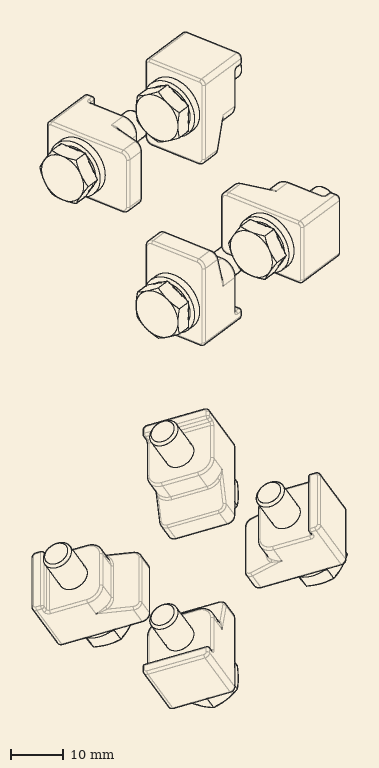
import cadquery as cq
import math

OVERALL = 61.0
CLAMP_COUNT = 4
FULL_TURN = 360.0

BLOCK_LENGTH = 19.5
BLOCK_WIDTH = 14.0
HEEL_LENGTH = 14.0
SEAT_DEPTH = 10.45
LIP_DEPTH = 12.45
LIP_THICKNESS = 2.5
NOSE_DEPTH = 4.4
NOSE_SLOPE = 15.0
OUTER_CORNER_RADIUS = 1.0
NOSE_CORNER_RADIUS = 1.6
HEEL_CORNER_RADIUS = 3.2
EDGE_RADIUS = 0.5

BOLT_INSET = 8.0
FLANGE_DIAMETER = 12.0
FLANGE_THICKNESS = 1.65
COLLAR_DIAMETER = 9.9
COLLAR_THICKNESS = 0.55
HEX_SIDES = 6
HEX_ACROSS_FLATS = 10.0
HEX_THICKNESS = 3.5
HEX_CHAMFER_ANGLE = 30.0
SHANK_DIAMETER = 6.0
SHANK_LENGTH = 18.3
SHANK_CHAMFER = 0.55

OUTER_X = -OVERALL / 2
NOSE_X = OUTER_X + BLOCK_LENGTH
HEEL_X = OUTER_X + HEEL_LENGTH
LIP_X = OUTER_X + LIP_THICKNESS
BOLT_X = OUTER_X + BOLT_INSET


def slab(length, inner_corner_radius):
    """Block from the outer face inwards, rounded on its edges parallel to Y."""
    block = (
        cq.Workplane("XY")
        .box(length, LIP_DEPTH, BLOCK_WIDTH, centered=(False, False, True))
        .translate((OUTER_X, 0, 0))
    )
    block = block.edges("|Y and <X").fillet(OUTER_CORNER_RADIUS)
    return block.edges("|Y and >X").fillet(inner_corner_radius)


def nose():
    """Full-length slab with rounded rims, sloping down towards its inner end."""
    rise = BLOCK_LENGTH * math.tan(math.radians(NOSE_SLOPE))
    side_outline = (
        cq.Workplane("XY")
        .moveTo(OUTER_X, 0)
        .lineTo(NOSE_X, 0)
        .lineTo(NOSE_X, NOSE_DEPTH)
        .lineTo(OUTER_X, NOSE_DEPTH + rise)
        .close()
        .extrude(BLOCK_WIDTH / 2, both=True)
    )
    wedge = slab(BLOCK_LENGTH, NOSE_CORNER_RADIUS).intersect(side_outline)
    return wedge.edges("not |Y").fillet(EDGE_RADIUS)


def heel():
    """Thick part around the bolt, with the lip standing above its seat."""
    seat_space = (
        cq.Workplane("XY")
        .box(BLOCK_LENGTH, LIP_DEPTH, BLOCK_WIDTH, centered=(False, False, True))
        .translate((LIP_X, SEAT_DEPTH, 0))
    )
    stepped = slab(HEEL_LENGTH, HEEL_CORNER_RADIUS).cut(seat_space)
    lip_inner_face = cq.selectors.NearestToPointSelector((LIP_X, LIP_DEPTH, 0))
    lip_side_edges = stepped.faces(lip_inner_face).edges("|Y")
    return stepped.edges("not |Y").add(lip_side_edges).fillet(EDGE_RADIUS)


def clamp_block():
    """Heel and nose in one, with a small fillet where the slope meets the heel."""
    block = heel().union(nose()).clean()
    slope_depth = NOSE_DEPTH + (NOSE_X - HEEL_X) * math.tan(math.radians(NOSE_SLOPE))
    slope_root = cq.selectors.NearestToPointSelector((HEEL_X, slope_depth, 0))
    return block.edges(slope_root).fillet(EDGE_RADIUS)


def disc(diameter, start, thickness):
    """Cylinder on the bolt axis, running towards -Y from the given Y."""
    return (
        cq.Workplane("XZ", origin=(BOLT_X, start, 0))
        .circle(diameter / 2)
        .extrude(thickness)
    )


def hex_head(start):
    """Hexagon with two corners along X and a conical chamfer on its outer end."""
    corner_diameter = HEX_ACROSS_FLATS / math.cos(math.pi / HEX_SIDES)
    hexagon = (
        cq.Workplane("XZ", origin=(BOLT_X, start, 0))
        .polygon(HEX_SIDES, corner_diameter)
        .extrude(HEX_THICKNESS)
    )
    corner_reach = (corner_diameter - HEX_ACROSS_FLATS) / 2
    corner_drop = corner_reach * math.tan(math.radians(HEX_CHAMFER_ANGLE))
    chamfered_disc = (
        disc(corner_diameter, start, HEX_THICKNESS)
        .faces("<Y")
        .chamfer(corner_drop, corner_reach)
    )
    return hexagon.intersect(chamfered_disc)


def bolt():
    """Flanged hexagon bolt: shank, flange, collar and head."""
    shank = disc(SHANK_DIAMETER, SHANK_LENGTH, SHANK_LENGTH).faces(">Y").chamfer(SHANK_CHAMFER)
    flange = disc(FLANGE_DIAMETER, 0, FLANGE_THICKNESS)
    collar = disc(COLLAR_DIAMETER, -FLANGE_THICKNESS, COLLAR_THICKNESS)
    head = hex_head(-FLANGE_THICKNESS - COLLAR_THICKNESS)
    return shank.union(flange).union(collar).union(head)


def clamp(angle):
    """One clamp body, block and bolt together, turned about the Y axis."""
    return clamp_block().union(bolt()).rotate((0, 0, 0), (0, 1, 0), angle)


clamps = [clamp(index * FULL_TURN / CLAMP_COUNT) for index in range(CLAMP_COUNT)]
result = cq.Compound.makeCompound([body.val() for body in clamps])